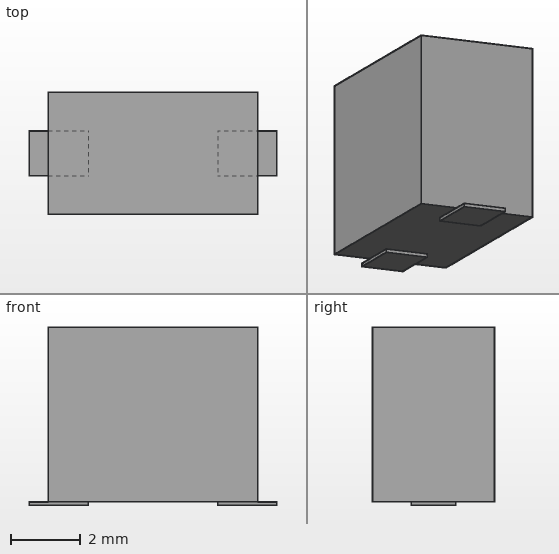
import cadquery as cq

overall_length = 7.08
overall_height = 5.1
housing_length = 6.005
housing_width = 3.5
lead_length = 1.69
lead_width = 1.28
lead_thickness = 0.1

housing_height = overall_height - lead_thickness
lead_center_x = (overall_length - lead_length) / 2


def make_housing():
    """Plain block standing on top of the leads."""
    block = cq.Workplane("XY").box(
        housing_length, housing_width, housing_height, centered=(True, True, False)
    )
    return block.translate((0, 0, lead_thickness))


def make_lead(side):
    """Flat lead under one end of the housing; side is -1 or +1 along X."""
    strip = cq.Workplane("XY").box(
        lead_length, lead_width, lead_thickness, centered=(True, True, False)
    )
    return strip.translate((side * lead_center_x, 0, 0))


housing = make_housing()
leads = [make_lead(side) for side in (-1, 1)]

result = cq.Compound.makeCompound([housing.val(), *[lead.val() for lead in leads]])